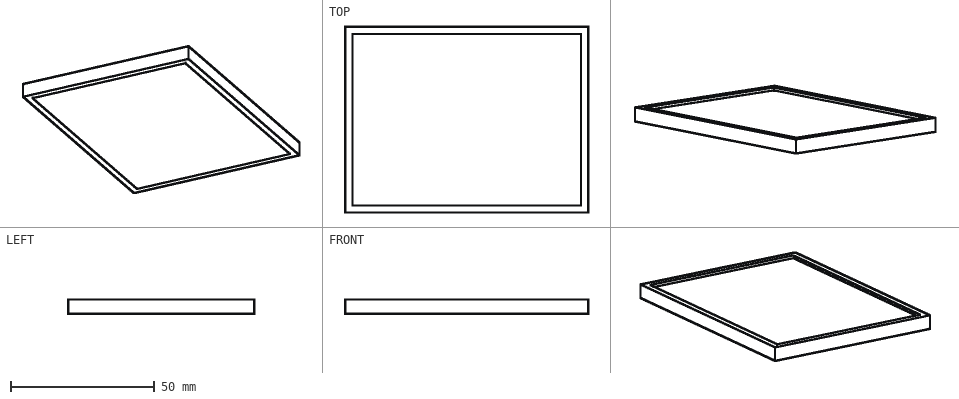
import cadquery as cq

length = 85.0
width = 65.0
height = 5.0

opening_length = 80.0
opening_width = 60.0
recess_depth = 1.0
panel_thickness = height - recess_depth


def block(size_x, size_y, size_z):
    """Block centred on the Z axis and standing on Z = 0."""
    return cq.Workplane("XY").box(size_x, size_y, size_z, centered=(True, True, False))


def make_frame():
    """Rectangular rim, open from top to bottom."""
    return block(length, width, height).cut(block(opening_length, opening_width, height))


def make_panel():
    """Flat panel that fills the frame opening, flush with the underside."""
    return block(opening_length, opening_width, panel_thickness)


frame = make_frame()
panel = make_panel()

result = cq.Compound.makeCompound([frame.val(), panel.val()])